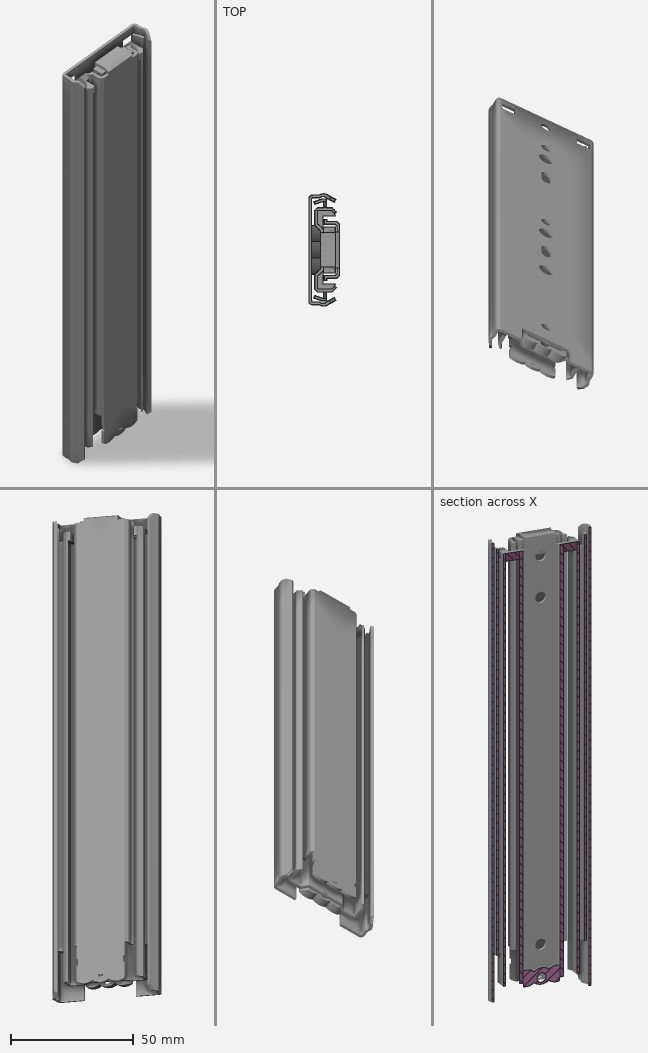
import cadquery as cq
import math


length = 200.0
depth = 12.5
overall_height = 45.8
half_height = overall_height / 2
sheet = 1.2

outer_flange_y = 22.5
outer_bend = 1.5
bead_start_x = 4.5
bead_x = 6.2
bead_end_x = 8.0
bead_end_y = 22.2
outer_lip_x = 11.0
outer_lip_y = 20.5
lip_corner_cut = 2.5
notch_half_width = 11.2
notch_height = 9.5
notch_corner = 0.8
window_z = 191.5
window_height = 4.5
window_inner_y = 14.2
window_outer_y = 20.5
small_hole = 4.5
large_hole = 6.5
small_hole_z = [20.0, 110.8, 174.8, 193.0]
large_hole_z = [69.2, 101.2, 165.2]
slot_z = [85.2, 149.2]
slot_width = 4.5
slot_length = 8.5

middle_bottom = 6.0
middle_top = 194.5
middle_back_x = 2.5
middle_flange_y = 17.2
middle_bend = 1.2
middle_centre_x = 4.8
jog_outer_y = 10.0
jog_inner_y = 7.8
middle_lip_start_x = 9.5
middle_lip_x = 11.2
middle_lip_y = 15.5
middle_hole = 4.8
middle_hole_z = [21.5, 172.5, 190.8]

web_bottom = 5.5
web_top = 197.5
flange_bottom = 20.5
inner_flange_y = 11.5
inner_corner = 1.2
inner_flange_x = 6.2
inner_hook_y = 12.5
edge_notch_depth = 0.5
edge_notch_bottom = 12.0
edge_notch_top = 14.5
tongue_half_width = 7.5
tongue_top = 199.8
tongue_front_top = 199.0
tongue_back_x = 10.8

lobe_count = 3
lobe_height = 1.2

cage_bottom = 20.0
cage_top = 197.2
cage_leg_top = 191.5
cage_leg_x = 6.0
cage_leg_inner_y = middle_flange_y
cage_peak_y = 20.8
cage_tail_x = 2.0
cage_tail_y = 19.5
cage_sheet = 1.0

bumper_bottom = 191.0
bumper_top = 199.5
bumper_front_x = tongue_back_x
head_half_width = 7.0
shoulder_top = 198.5
bumper_neck_x = 5.8
bumper_core_y = 9.5
bumper_arm_y = 13.8

buffer_half_width = jog_outer_y
buffer_bottom = web_bottom
buffer_top = 10.5
buffer_hole = 4.0
buffer_hole_z = 7.2
recess_half_width = 7.8
recess_bottom = 7.8
recess_top = 9.0
recess_depth = 0.8
sight_slot_z = 7.0
sight_slot_width = 2.2
sight_slot_height = 0.8


def mirrored_outline(half_points):
    """Closed XY outline from the points of its +Y half, which start and end near the XZ plane."""
    other_half = [(x, -y) for x, y in reversed(half_points)]
    return cq.Workplane("XY").polyline(half_points + other_half).close()


def bend_middle(centre, radius):
    """Halfway point of a quarter bend that curves towards -X and +Y."""
    offset = radius * math.sqrt(0.5)
    return (centre[0] - offset, centre[1] + offset)


def extrude_between(outline, bottom, top):
    return outline.extrude(top - bottom).translate((0, 0, bottom))


def box_between(x_range, y_range, z_range):
    sizes = [high - low for low, high in (x_range, y_range, z_range)]
    corner = (x_range[0], y_range[0], z_range[0])
    return cq.Workplane("XY").box(*sizes, centered=False).translate(corner)


def x_cutter(sketch):
    """Cutter that runs right through the depth from a closed sketch on the YZ plane."""
    return sketch.extrude(depth)


def holes(diameter, heights):
    points = [(0, z) for z in heights]
    return x_cutter(cq.Workplane("YZ").pushPoints(points).circle(diameter / 2))


def sight_slot():
    sketch = cq.Workplane("YZ").center(0, sight_slot_z).rect(sight_slot_width, sight_slot_height)
    return x_cutter(sketch)


def add_lobes(sketch, start_y, end_y, base_z, tip_z):
    """Continue a YZ sketch at base_z with a row of arcs that reach out to tip_z."""
    step = (end_y - start_y) / lobe_count
    for index in range(lobe_count):
        lobe_start = start_y + index * step
        sketch = sketch.threePointArc((lobe_start + step / 2, tip_z), (lobe_start + step, base_z))
    return sketch


def outer_half_section():
    """The +Y half of the outer rail, with a round bend and a round bead before the lip."""
    bend_centre = (outer_bend, outer_flange_y - outer_bend)
    inside_bend = outer_bend - sheet
    inner_flange = outer_flange_y - sheet
    section = (
        cq.Workplane("XY")
        .moveTo(0, 0)
        .lineTo(0, bend_centre[1])
        .threePointArc(bend_middle(bend_centre, outer_bend), (outer_bend, outer_flange_y))
        .lineTo(bead_start_x, outer_flange_y)
        .threePointArc((bead_x, half_height), (bead_end_x, bead_end_y))
        .lineTo(outer_lip_x, outer_lip_y)
        .lineTo(outer_lip_x - sheet / 2, outer_lip_y - sheet)
        .lineTo(bead_end_x - sheet / 2, bead_end_y - sheet)
        .threePointArc((bead_x, half_height - sheet), (bead_start_x, inner_flange))
        .lineTo(outer_bend, inner_flange)
        .threePointArc(bend_middle(bend_centre, inside_bend), (sheet, bend_centre[1]))
        .lineTo(sheet, 0)
    )
    return section.close()


def outer_rail():
    half = extrude_between(outer_half_section(), 0, length)
    rail = half.union(half.mirror("XZ"))

    for end, inward in ((0, 1), (length, -1)):
        corner = [
            (outer_lip_x - lip_corner_cut, end),
            (outer_lip_x, end),
            (outer_lip_x, end + inward * lip_corner_cut),
        ]
        cutter = cq.Workplane("XZ").polyline(corner).close().extrude(half_height, both=True)
        rail = rail.cut(cutter)

    notch = box_between((0, sheet), (-notch_half_width, notch_half_width), (0, notch_height))
    rail = rail.cut(notch.edges("|X and >Z").fillet(notch_corner))

    window = box_between(
        (0, sheet), (window_inner_y, window_outer_y), (window_z, window_z + window_height)
    )
    rail = rail.cut(window).cut(window.mirror("XZ"))

    slot_points = [(0, z) for z in slot_z]
    slots = x_cutter(cq.Workplane("YZ").pushPoints(slot_points).slot2D(slot_length, slot_width, 90))
    return rail.cut(holes(small_hole, small_hole_z)).cut(holes(large_hole, large_hole_z)).cut(slots)


def middle_rail():
    inner_flange = middle_flange_y - sheet
    front_x = middle_back_x + sheet
    profile = mirrored_outline([
        (middle_centre_x, jog_inner_y),
        (middle_back_x, jog_outer_y),
        (middle_back_x, middle_flange_y - middle_bend),
        (middle_back_x + middle_bend, middle_flange_y),
        (middle_lip_start_x, middle_flange_y),
        (middle_lip_x, middle_lip_y),
        (middle_lip_x - sheet / 2, middle_lip_y - sheet / 2),
        (middle_lip_start_x, inner_flange),
        (front_x, inner_flange),
        (front_x, jog_outer_y + sheet / 2),
        (middle_centre_x + sheet, jog_inner_y + sheet / 2),
    ])
    rail = extrude_between(profile, middle_bottom, middle_top)
    return rail.cut(sight_slot()).cut(holes(middle_hole, middle_hole_z))


def inner_rail():
    web_x = depth - sheet
    web_half_width = inner_flange_y - inner_corner
    web = cq.Workplane("YZ").moveTo(-web_half_width, web_bottom)
    web = add_lobes(web, -web_half_width, web_half_width, web_bottom, web_bottom - lobe_height)
    web = web.lineTo(web_half_width, web_top).lineTo(-web_half_width, web_top).close()
    web = web.extrude(sheet).translate((web_x, 0, 0))
    tongue_outline = [
        (web_x, web_top),
        (depth, web_top),
        (depth, tongue_front_top),
        (tongue_back_x, tongue_top),
        (tongue_back_x, tongue_front_top),
    ]
    tongue = cq.Workplane("XZ").polyline(tongue_outline).close().extrude(tongue_half_width, both=True)
    channel = extrude_between(
        mirrored_outline([
            (depth, web_half_width),
            (depth - inner_corner, inner_flange_y),
            (inner_flange_x + sheet, inner_flange_y),
            (inner_flange_x + sheet, inner_hook_y),
            (inner_flange_x, inner_hook_y),
            (inner_flange_x, inner_flange_y - sheet),
            (web_x - sheet / 2, inner_flange_y - sheet),
            (web_x, web_half_width - sheet / 2),
        ]),
        flange_bottom,
        web_top,
    )
    edge_notch = box_between(
        (web_x, depth),
        (web_half_width - edge_notch_depth, web_half_width),
        (edge_notch_bottom, edge_notch_top),
    )
    rail = web.union(tongue).union(channel).cut(sight_slot())
    return rail.cut(edge_notch).cut(edge_notch.mirror("XZ"))


def ball_cage(side):
    """Bent strip with a sloping tail and a leg on the middle flange; side is +1 or -1 along Y."""
    leg_front_x = cage_leg_x + sheet
    points = [
        (cage_tail_x, cage_tail_y),
        (cage_leg_x - sheet / 2, cage_peak_y),
        (leg_front_x, cage_peak_y),
        (leg_front_x, cage_leg_inner_y),
        (cage_leg_x, cage_leg_inner_y),
        (cage_leg_x, cage_peak_y - cage_sheet),
        (cage_tail_x + cage_sheet / 2, cage_tail_y - cage_sheet),
    ]
    outline = cq.Workplane("XY").polyline([(x, side * y) for x, y in points]).close()
    cage = extrude_between(outline, cage_bottom, cage_top)
    leg_y = sorted((side * cage_leg_inner_y, side * (cage_peak_y - cage_sheet)))
    leg_relief = box_between((cage_leg_x, leg_front_x), leg_y, (cage_leg_top, cage_top))
    return cage.cut(leg_relief)


def bumper():
    channel_x = middle_back_x + sheet
    channel_y = middle_flange_y - sheet
    base = extrude_between(
        mirrored_outline([
            (middle_centre_x + sheet, jog_inner_y + sheet / 2),
            (channel_x, jog_outer_y + sheet / 2),
            (channel_x, channel_y),
            (middle_lip_start_x, channel_y),
            (middle_lip_x - sheet / 2, middle_lip_y - sheet / 2),
            (bumper_front_x, bumper_arm_y),
            (bumper_neck_x, bumper_arm_y),
            (bumper_neck_x, bumper_core_y),
            (bumper_front_x, bumper_core_y),
        ]),
        bumper_bottom,
        middle_top,
    )
    head = box_between(
        (middle_centre_x, bumper_front_x),
        (-head_half_width, head_half_width),
        (middle_top, bumper_top),
    )
    shoulder = box_between(
        (middle_centre_x + sheet, bumper_front_x),
        (-bumper_core_y, bumper_core_y),
        (middle_top, shoulder_top),
    )
    return base.union(head).union(shoulder)


def buffer():
    """Block between the webs whose two ends are rows of round lobes."""
    low_y, high_y = -buffer_half_width, buffer_half_width
    sketch = cq.Workplane("YZ").moveTo(low_y, buffer_bottom)
    sketch = add_lobes(sketch, low_y, high_y, buffer_bottom, buffer_bottom - lobe_height)
    sketch = sketch.lineTo(high_y, buffer_top)
    sketch = add_lobes(sketch, high_y, low_y, buffer_top, buffer_top + lobe_height)
    block = sketch.close().extrude(middle_centre_x - sheet).translate((sheet, 0, 0))
    seat = mirrored_outline([
        (sheet, jog_outer_y),
        (middle_back_x, jog_outer_y),
        (middle_centre_x, jog_inner_y),
    ])
    block = block.intersect(seat.extrude(length))
    recess = box_between(
        (sheet, sheet + recess_depth),
        (-recess_half_width, recess_half_width),
        (recess_bottom, recess_top),
    )
    return block.cut(recess).cut(holes(buffer_hole, [buffer_hole_z]))


outer = outer_rail()
middle = middle_rail()
inner = inner_rail()
cages = [ball_cage(side) for side in (1, -1)]
end_bumper = bumper()
end_buffer = buffer()

result = cq.Compound.makeCompound([
    outer.val(),
    middle.val(),
    inner.val(),
    *[cage.val() for cage in cages],
    end_bumper.val(),
    end_buffer.val(),
])